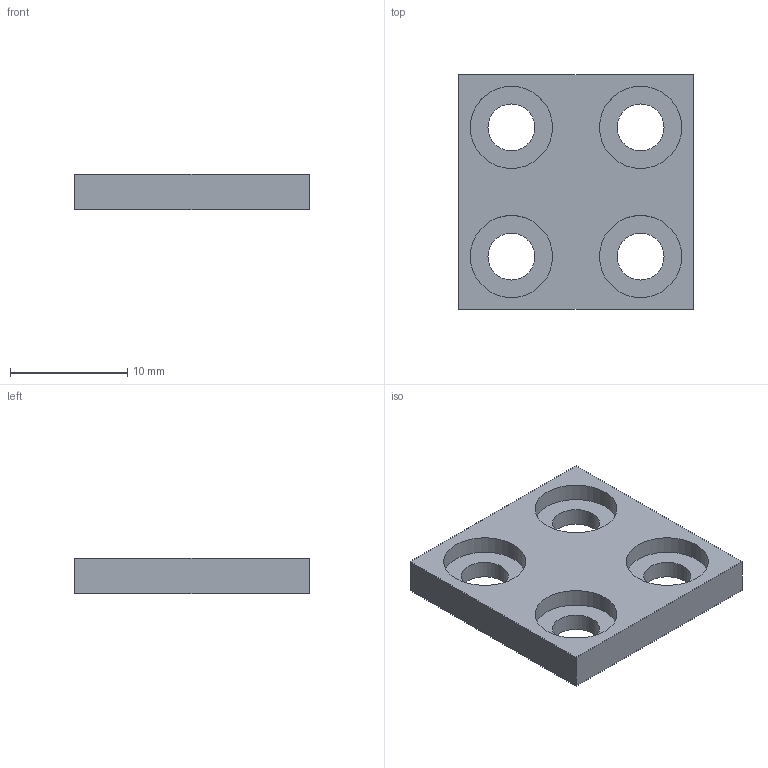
import cadquery as cq

side = 20.0
thickness = 3.0

hole_diameter = 4.0
counterbore_diameter = 7.0
counterbore_depth = 1.5
edge_distance = 4.5
hole_spacing = side - 2 * edge_distance


def make_plate():
    """Square plate centred on the Z axis, standing on Z = 0."""
    return cq.Workplane("XY").box(side, side, thickness, centered=(True, True, False))


def cut_screw_holes(plate):
    """Cut the four through holes with their counterbores in the top face."""
    return (
        plate.faces(">Z")
        .workplane()
        .rarray(hole_spacing, hole_spacing, 2, 2)
        .cboreHole(hole_diameter, counterbore_diameter, counterbore_depth)
    )


result = cut_screw_holes(make_plate())